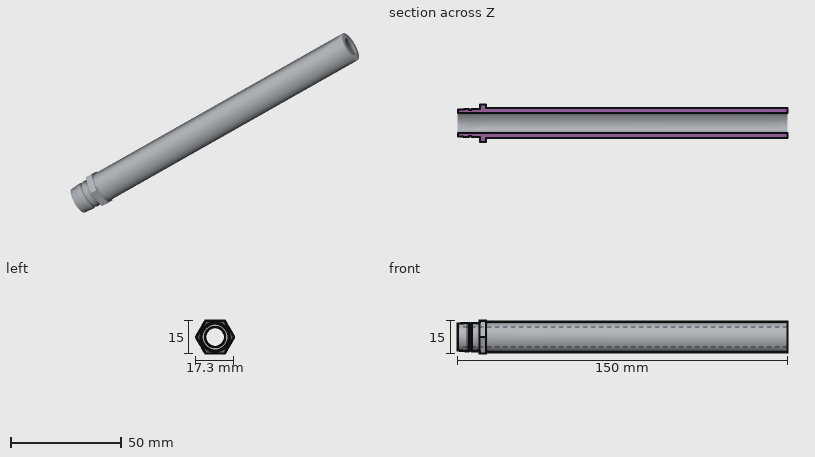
import cadquery as cq
import math

total_length = 150.0
bore_diameter = 9.0

hex_sides = 6
hex_across_flats = 15.0
hex_start = 10.0
hex_width = 3.0

tube_diameter = 14.0

spigot_diameter = 13.0
nose_diameter = 12.3
nose_length = 4.0

groove_start = 5.0
groove_width = 1.5
groove_depth = 0.5


def turned_body():
    """Bored spigot and tube, with a tapered nose and a trapezoidal groove on the spigot."""
    bore_radius = bore_diameter / 2
    tube_radius = tube_diameter / 2
    spigot_radius = spigot_diameter / 2
    nose_radius = nose_diameter / 2
    groove_end = groove_start + groove_width
    floor_radius = spigot_radius - groove_depth
    flank_length = groove_depth
    profile = (
        cq.Workplane("XZ")
        .moveTo(0, bore_radius)
        .lineTo(total_length, bore_radius)
        .lineTo(total_length, tube_radius)
        .lineTo(hex_start, tube_radius)
        .lineTo(hex_start, spigot_radius)
        .lineTo(groove_end, spigot_radius)
        .lineTo(groove_end - flank_length, floor_radius)
        .lineTo(groove_start + flank_length, floor_radius)
        .lineTo(groove_start, spigot_radius)
        .lineTo(nose_length, spigot_radius)
        .lineTo(0, nose_radius)
        .close()
    )
    return profile.revolve(360, (0, 0, 0), (1, 0, 0))


def hex_collar():
    """Bored hexagon with flats facing +Z and -Z and corners on the Y axis."""
    across_corners = hex_across_flats / math.cos(math.pi / hex_sides)
    return (
        cq.Workplane("YZ", origin=(hex_start, 0, 0))
        .polygon(hex_sides, across_corners)
        .circle(bore_diameter / 2)
        .extrude(hex_width)
    )


result = turned_body().union(hex_collar())